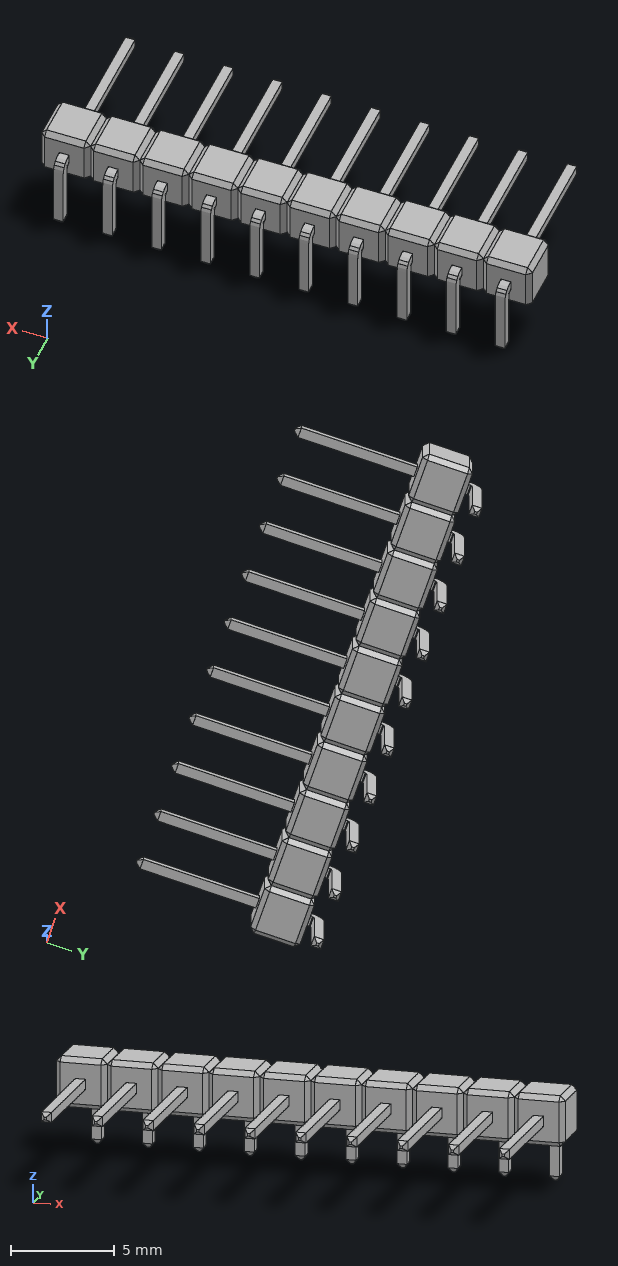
import cadquery as cq
import math

position_count = 10
pitch = 2.55
block_chamfer = 0.25

pin_width = 0.5
front_reach = 6.15
overall_depth = 9.45
overall_height = 5.08
bend_outer_radius = 0.6
bend_inner_radius = 0.2
bend_facet_count = 5

tip_length = 0.25
tip_inset = 0.19
tip_taper = math.degrees(math.atan(tip_inset / tip_length))

half_block = pitch / 2
half_pin = pin_width / 2
pin_front = -half_block - front_reach
shaft_front = pin_front + tip_length
leg_back = pin_front + overall_depth
leg_front = leg_back - pin_width
leg_bottom = half_block - overall_height + tip_length


def make_block():
    """Cube with every edge chamfered."""
    return cq.Workplane("XY").box(pitch, pitch, pitch).edges().chamfer(block_chamfer)


def bend_points(corner_y, corner_z, radius):
    """Points of a faceted quarter round on a square corner, from the shaft to the leg."""
    centre_y = corner_y - radius
    centre_z = corner_z - radius
    facet_angle = math.pi / 2 / bend_facet_count
    angles = [facet_angle * step for step in range(bend_facet_count + 1)]
    return [(centre_y + radius * math.sin(a), centre_z + radius * math.cos(a)) for a in angles]


def add_tip(bar, end_face):
    """Blunt pyramid on one square end of the pin."""
    end = bar.faces(end_face).workplane(centerOption="CenterOfMass")
    return end.rect(pin_width, pin_width).extrude(tip_length, taper=tip_taper)


def make_pin():
    """Square shaft along Y, bent down to a leg, with a tip on both ends."""
    outer_bend = bend_points(leg_back, half_pin, bend_outer_radius)
    inner_bend = bend_points(leg_front, -half_pin, bend_inner_radius)
    leg_end = [(leg_back, leg_bottom), (leg_front, leg_bottom)]
    shaft_end = [(shaft_front, -half_pin), (shaft_front, half_pin)]
    profile = outer_bend + leg_end + inner_bend[::-1] + shaft_end
    bar = cq.Workplane("YZ").polyline(profile).close().extrude(half_pin, both=True)
    return add_tip(add_tip(bar, "<Y"), "<Z")


def make_header_unit(position):
    """One block and its pin as a single solid, at its place in the row."""
    x = (position - (position_count - 1) / 2) * pitch
    return make_block().union(make_pin()).translate((x, 0, 0))


header_units = [make_header_unit(position).solids().val() for position in range(position_count)]

result = cq.Compound.makeCompound(header_units)